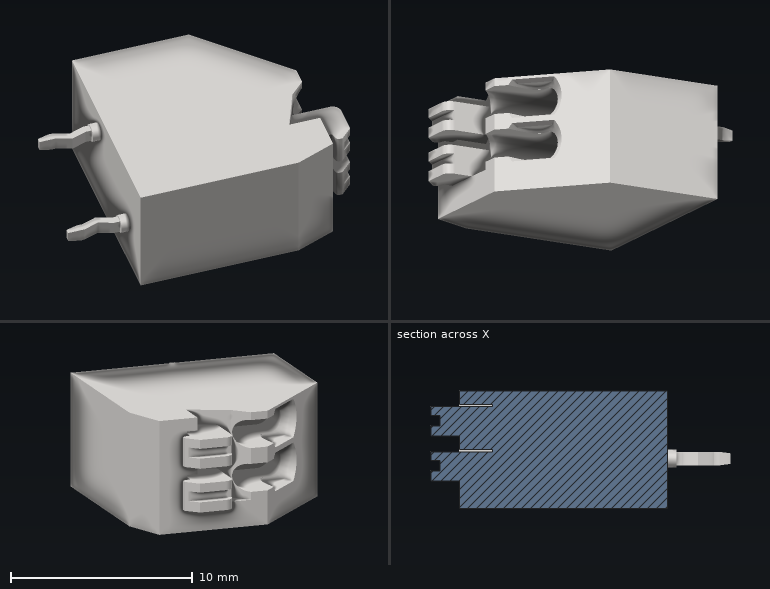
import cadquery as cq
import math


WIDTH = 12.0
HEIGHT = 11.5
END_PLATE = 1.5
POLE_PITCH = 2.5
POLE_COUNT = 2
THICKNESS = END_PLATE + POLE_COUNT * POLE_PITCH
ENTRY_CHAMFER = 4.7
SIDE_SLOPE_RUN = 0.9
SIDE_SLOPE_DROP = 2.3

NOTCH_LEFT = 5.7
NOTCH_RIGHT = 8.85
NOTCH_BEVEL = 0.85
NOTCH_DEPTH = 1.8

LEVER_LEFT = 7.25
LEVER_STEM_RIGHT = 9.45
LEVER_HOOK_RIGHT = 9.95
LEVER_TOP = 13.1
LEVER_THICKNESS = 1.65
LEVER_ROUND = 0.5
LEVER_HOOK_CHAMFER = 0.66
HOOK_SIDE_BOTTOM = 12.2
HOOK_LIP = 0.1
HOOK_BOTTOM = 12.0
LEVER_GROOVE_START = 0.58
LEVER_GROOVE_WIDTH = 0.56
LEVER_CLEARANCE = 0.1

ENTRY_Z = 1.25
WIRE_RADIUS = 0.8
WIRE_BACK_X = NOTCH_LEFT
WIRE_FRONT_X = 3.6
WIRE_FLOOR = HEIGHT - ENTRY_CHAMFER
FUNNEL_X = 3.125
FUNNEL_RADIUS = 1.63
FUNNEL_DEPTH = 1.4
FUNNEL_CONE_ANGLE = 30.0
FUNNEL_HALF_WIDTH = 1.1
FUNNEL_SIDE_ANGLE = 20.5
FUNNEL_LIP_DEPTH = 0.4

PIN_SPACING = 5.0
FIRST_PIN_X = 4.7
COLLAR_RADIUS = 0.5
COLLAR_LENGTH = 0.5
PIN_WIDTH = 0.45
PIN_DEPTH = 0.75
PIN_LENGTH = 3.5
KINK_START = 0.85
KINK_MIDDLE = 1.7
KINK_END = 2.57
KINK_OFFSET = 0.3
TIP_LENGTH = 0.62
TIP_TAPER_ANGLE = 7.8

OVERLAP = 0.2


def pole_base(index):
    """Z of the lower face of a pole."""
    return END_PLATE + index * POLE_PITCH


def make_housing():
    outline = [
        (0, 0),
        (WIDTH, 0),
        (WIDTH, HEIGHT - SIDE_SLOPE_DROP),
        (WIDTH - SIDE_SLOPE_RUN, HEIGHT),
        (ENTRY_CHAMFER, HEIGHT),
        (0, HEIGHT - ENTRY_CHAMFER),
    ]
    return cq.Workplane("XY").polyline(outline).close().extrude(THICKNESS)


def make_notch():
    outline = [
        (NOTCH_LEFT, HEIGHT),
        (NOTCH_LEFT + NOTCH_BEVEL, HEIGHT - NOTCH_BEVEL),
        (NOTCH_RIGHT, HEIGHT - NOTCH_DEPTH),
        (NOTCH_RIGHT, HEIGHT),
    ]
    notch = cq.Workplane("XY", origin=(0, 0, END_PLATE)).polyline(outline).close()
    return notch.extrude(POLE_COUNT * POLE_PITCH)


def make_lever_pocket(base_z):
    """Recess in the notch wall that takes the lever stem with clearance above it."""
    pocket = cq.Workplane("XY").box(
        LEVER_STEM_RIGHT - NOTCH_RIGHT, NOTCH_DEPTH, LEVER_THICKNESS + LEVER_CLEARANCE, centered=False
    )
    return pocket.translate((NOTCH_RIGHT, HEIGHT - NOTCH_DEPTH, base_z))


def make_lever(base_z):
    lever_bottom = HEIGHT - NOTCH_DEPTH - OVERLAP
    blade = (
        cq.Workplane("XY", origin=(0, 0, base_z))
        .moveTo(LEVER_LEFT, lever_bottom)
        .lineTo(LEVER_STEM_RIGHT, lever_bottom)
        .lineTo(LEVER_STEM_RIGHT, HOOK_BOTTOM)
        .lineTo(LEVER_HOOK_RIGHT - HOOK_LIP, HOOK_SIDE_BOTTOM - HOOK_LIP)
        .lineTo(LEVER_HOOK_RIGHT, HOOK_SIDE_BOTTOM)
        .lineTo(LEVER_HOOK_RIGHT, LEVER_TOP - LEVER_HOOK_CHAMFER)
        .lineTo(LEVER_HOOK_RIGHT - LEVER_HOOK_CHAMFER, LEVER_TOP)
        .lineTo(LEVER_LEFT + LEVER_ROUND, LEVER_TOP)
        .radiusArc((LEVER_LEFT, LEVER_TOP - LEVER_ROUND), -LEVER_ROUND)
        .close()
        .extrude(LEVER_THICKNESS)
    )
    groove = cq.Workplane("XY").box(
        LEVER_HOOK_RIGHT - LEVER_LEFT, LEVER_ROUND, LEVER_GROOVE_WIDTH, centered=False
    )
    groove = groove.translate((LEVER_LEFT, LEVER_TOP - LEVER_ROUND, base_z + LEVER_GROOVE_START))
    return blade.cut(groove)


def make_wire_slot(center_z):
    """Round-ended slot, parallel to Y, open on the sloped face and the top face."""
    length = WIRE_BACK_X - WIRE_FRONT_X + 2 * WIRE_RADIUS
    slot = cq.Workplane("XZ").slot2D(length, 2 * WIRE_RADIUS).extrude(-(HEIGHT - WIRE_FLOOR))
    return slot.translate(((WIRE_BACK_X + WIRE_FRONT_X) / 2, WIRE_FLOOR, center_z))


def make_funnel(center_z):
    """Conical lead-in square to the sloped face, narrowed by two sides, tapered and then parallel."""
    mouth = cq.Plane(
        origin=(FUNNEL_X, FUNNEL_X + HEIGHT - ENTRY_CHAMFER, center_z),
        xDir=(0, 0, 1),
        normal=(1, -1, 0),
    )
    cone = cq.Workplane(mouth).circle(FUNNEL_RADIUS).extrude(FUNNEL_DEPTH, taper=FUNNEL_CONE_ANGLE)
    lip_half_width = FUNNEL_HALF_WIDTH - FUNNEL_LIP_DEPTH * math.tan(math.radians(FUNNEL_SIDE_ANGLE))
    sides = [
        (-FUNNEL_HALF_WIDTH, 0),
        (FUNNEL_HALF_WIDTH, 0),
        (lip_half_width, FUNNEL_LIP_DEPTH),
        (lip_half_width, FUNNEL_DEPTH),
        (-lip_half_width, FUNNEL_DEPTH),
        (-lip_half_width, FUNNEL_LIP_DEPTH),
    ]
    cross_section = cq.Plane(origin=mouth.origin.toTuple(), xDir=(0, 0, 1), normal=(1, 1, 0))
    throat = cq.Workplane(cross_section).polyline(sides).close().extrude(FUNNEL_RADIUS, both=True)
    return cone.intersect(throat)


def make_pin(center_x, center_z, kink_direction):
    """Collar, kinked flat pin and tapered tip; the kink bends along +X or -X."""
    half = PIN_WIDTH / 2
    kink = kink_direction * KINK_OFFSET
    shank_end = PIN_LENGTH - TIP_LENGTH
    outline = [
        (-half, OVERLAP),
        (-half, -KINK_START),
        (kink - half, -KINK_MIDDLE),
        (-half, -KINK_END),
        (-half, -shank_end),
        (half, -shank_end),
        (half, -KINK_END),
        (kink + half, -KINK_MIDDLE),
        (half, -KINK_START),
        (half, OVERLAP),
    ]
    shank = cq.Workplane("XY").polyline(outline).close().extrude(PIN_DEPTH / 2, both=True)
    tip = cq.Workplane("XZ", origin=(0, -shank_end, 0)).rect(PIN_WIDTH, PIN_DEPTH)
    tip = tip.extrude(TIP_LENGTH, taper=TIP_TAPER_ANGLE)
    collar = cq.Workplane("XZ", origin=(0, OVERLAP, 0)).circle(COLLAR_RADIUS)
    collar = collar.extrude(OVERLAP + COLLAR_LENGTH)
    return collar.union(shank).union(tip).translate((center_x, 0, center_z))


result = make_housing().cut(make_notch())
for pole in range(POLE_COUNT):
    base = pole_base(pole)
    result = result.cut(make_lever_pocket(base))
    result = result.cut(make_wire_slot(base + ENTRY_Z))
    result = result.cut(make_funnel(base + ENTRY_Z))
    result = result.union(make_lever(base))

top_pole_z = pole_base(POLE_COUNT - 1) + ENTRY_Z
bottom_pole_z = pole_base(0) + ENTRY_Z
result = result.union(make_pin(FIRST_PIN_X, top_pole_z, 1))
result = result.union(make_pin(FIRST_PIN_X + PIN_SPACING, bottom_pole_z, -1))